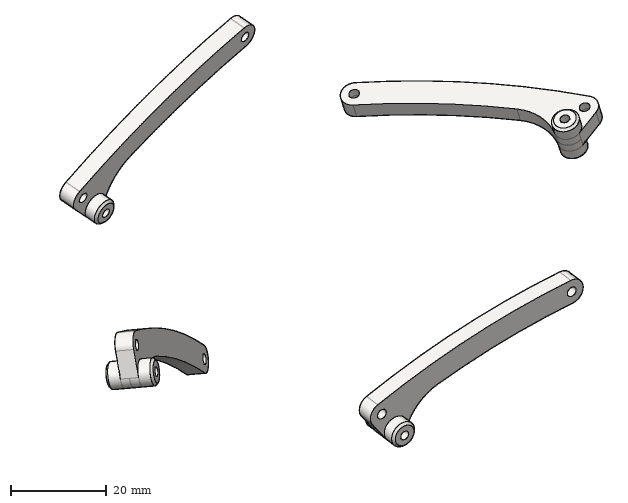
import cadquery as cq
import math

end_radius = 3.0
pivot = (-3.6, 5.1)
tip = (45.65, 16.4)
boss = (0.0, 0.0)
arm_thickness = 4.0
arm_curve_radius = 177.2
throat_radius = 12.15
pin_hole_diameter = 2.25
boss_hole_diameter = 2.05
boss_length = 10.3
boss_chamfer = 0.55


def toward(start, target, distance):
    """Point at a signed distance from start along the line to target."""
    span = math.dist(start, target)
    return tuple(s + (t - s) * distance / span for s, t in zip(start, target))


def circle_crossing(first, first_radius, second, second_radius):
    """Crossing of two circles on the left of the line from first to second."""
    span = math.dist(first, second)
    along = (first_radius**2 - second_radius**2 + span**2) / (2 * span)
    aside = math.sqrt(first_radius**2 - along**2)
    base = toward(first, second, along)
    direction = ((second[0] - first[0]) / span, (second[1] - first[1]) / span)
    return base[0] - aside * direction[1], base[1] + aside * direction[0]


def arc_middle(center, start, end):
    """Middle of the shorter arc between two points around center."""
    chord_middle = ((start[0] + end[0]) / 2, (start[1] + end[1]) / 2)
    return toward(center, chord_middle, math.dist(center, start))


def cylinder(center, diameter, length):
    """Cylinder along X, centered on the arm's middle plane."""
    return (
        cq.Workplane("YZ")
        .center(*center)
        .circle(diameter / 2)
        .extrude(length / 2, both=True)
    )


def arm():
    """Curved plate with rounded ends and a lobe around the boss."""
    curve_center = circle_crossing(tip, arm_curve_radius, pivot, arm_curve_radius)
    inner_radius = arm_curve_radius - end_radius
    throat_center = circle_crossing(
        boss, throat_radius + end_radius, curve_center, inner_radius - throat_radius
    )

    tip_top = toward(tip, curve_center, -end_radius)
    tip_bottom = toward(tip, curve_center, end_radius)
    pivot_top = toward(pivot, curve_center, -end_radius)
    throat_start = toward(curve_center, throat_center, inner_radius)
    throat_end = toward(boss, throat_center, end_radius)

    span = math.dist(boss, pivot)
    side_y = -(pivot[1] - boss[1]) * end_radius / span
    side_z = (pivot[0] - boss[0]) * end_radius / span
    boss_side = (boss[0] + side_y, boss[1] + side_z)
    pivot_side = (pivot[0] + side_y, pivot[1] + side_z)

    return (
        cq.Workplane("YZ")
        .moveTo(*tip_top)
        .threePointArc(arc_middle(curve_center, tip_top, pivot_top), pivot_top)
        .threePointArc(arc_middle(pivot, pivot_top, pivot_side), pivot_side)
        .lineTo(*boss_side)
        .threePointArc(arc_middle(boss, boss_side, throat_end), throat_end)
        .threePointArc(arc_middle(throat_center, throat_end, throat_start), throat_start)
        .threePointArc(arc_middle(curve_center, throat_start, tip_bottom), tip_bottom)
        .threePointArc(toward(tip, pivot, -end_radius), tip_top)
        .close()
        .extrude(arm_thickness / 2, both=True)
    )


boss_body = cylinder(boss, 2 * end_radius, boss_length).faces("<X or >X").chamfer(boss_chamfer)
result = arm().union(boss_body)

for center, diameter in (
    (tip, pin_hole_diameter),
    (pivot, pin_hole_diameter),
    (boss, boss_hole_diameter),
):
    result = result.cut(cylinder(center, diameter, boss_length))